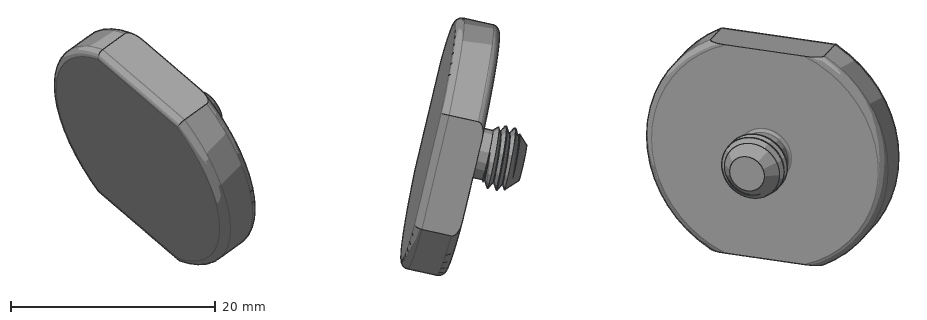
import cadquery as cq
import math

plate_diameter = 25.2
flat_spacing = 22.22
plate_thickness = 4.45
rim_radius = 0.75

total_depth = 9.52
stud_length = total_depth - plate_thickness
neck_radius = 4.95 / 2
neck_length = 1.5
neck_fillet = 0.3
tip_radius = 1.81

thread_radius = 3.17
thread_depth = 0.63
pitch = 0.9
crest_width = 0.1
flank_angle = math.radians(30)
root_radius = thread_radius - thread_depth
overlap = 0.03


def make_plate():
    disc = (
        cq.Workplane("XZ")
        .circle(plate_diameter / 2)
        .extrude(plate_thickness)
        .faces(">Y").edges().fillet(rim_radius)
    )
    flats = cq.Workplane("XZ").rect(plate_diameter, flat_spacing).extrude(plate_thickness)
    return disc.intersect(flats).faces("<Y").edges().fillet(rim_radius)


def make_envelope():
    """Two 45 degree cones, meeting outside the thread, that bound the threaded length."""
    apex_radius = (stud_length - neck_length + neck_radius + tip_radius) / 2
    return (
        cq.Workplane("XZ")
        .moveTo(0, neck_length)
        .lineTo(neck_radius, neck_length)
        .lineTo(apex_radius, neck_length + apex_radius - neck_radius)
        .lineTo(tip_radius, stud_length)
        .lineTo(0, stud_length)
        .close()
        .revolve(360, (0, 0), (0, 1))
    )


def make_ridge():
    """Helical ridge, overlong at both ends, starting on the +X side."""
    start = pitch
    turns = math.ceil((stud_length - start) / pitch)
    inner_radius = root_radius - overlap
    half_crest = crest_width / 2
    half_base = half_crest + (thread_radius - inner_radius) * math.tan(flank_angle)
    path = cq.Wire.makeHelix(pitch, turns * pitch, inner_radius, cq.Vector(0, 0, start))
    return (
        cq.Workplane("XZ")
        .polyline([
            (inner_radius, start - half_base),
            (thread_radius, start - half_crest),
            (thread_radius, start + half_crest),
            (inner_radius, start + half_base),
        ])
        .close()
        .sweep(cq.Workplane(path), isFrenet=True)
    )


def make_stud():
    """Stud standing on +Z, with its base at the origin."""
    envelope = make_envelope()
    core = cq.Workplane("XY").circle(root_radius).extrude(stud_length).intersect(envelope)
    ridge = make_ridge().intersect(envelope)
    neck = (
        cq.Workplane("XZ")
        .lineTo(neck_radius + neck_fillet, 0)
        .radiusArc((neck_radius, neck_fillet), neck_fillet)
        .lineTo(neck_radius, neck_length)
        .lineTo(0, neck_length)
        .close()
        .revolve(360, (0, 0), (0, 1))
    )
    return core.union(ridge).union(neck)


stud = make_stud().rotate((0, 0, 0), (1, 0, 0), -90)
plate = make_plate()
result = plate.union(stud)